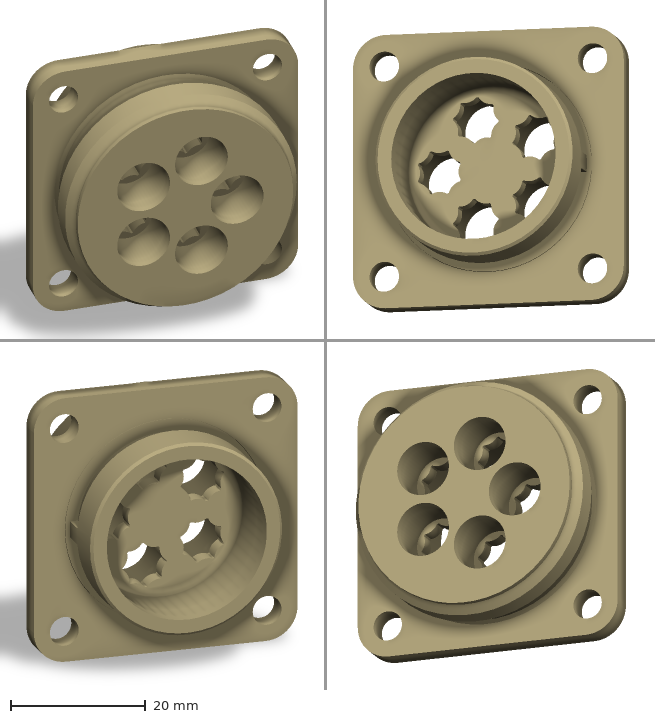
import cadquery as cq
import math


flange_side = 41.2
flange_front = 10.0
flange_thickness = 3.5
flange_back = flange_front + flange_thickness
corner_radius = 5.0
bolt_hole_diameter = 4.5
bolt_hole_spacing = 31.7

barrel_diameter = 30.0
barrel_chamfer = 0.4
barrel_back = 6.95
neck_diameter = 27.52
key_width = 2.5

total_length = 23.5
rear_diameter = 33.5
rear_foot = 0.5
collar_diameter = 36.0
collar_ramp_start = 16.5
collar_start = 17.67
collar_end = 21.2
collar_ramp_end = 22.5

socket_diameter = 25.0
socket_depth = 12.5
socket_floor_fillet = 1.0
wall_thickness = 2.6
contact_bore_diameter = 8.2

groove_inner_diameter = 31.4
groove_outer_diameter = 31.5
groove_depth = 1.65

contact_count = 5
contact_circle_radius = 8.05
scallop_count = 8
tip_radius = 3.45
tip_width = 0.3
scallop_mid_radius = 2.93


def cylinder(diameter, start, end):
    return cq.Workplane("YZ", origin=(start, 0, 0)).circle(diameter / 2).extrude(end - start)


def make_flange():
    plate = (
        cq.Workplane("YZ", origin=(flange_front, 0, 0))
        .rect(flange_side, flange_side)
        .extrude(flange_thickness)
        .edges("|X")
        .fillet(corner_radius)
    )
    return (
        plate.faces("<X")
        .workplane(origin=(flange_front, 0, 0))
        .rect(bolt_hole_spacing, bolt_hole_spacing, forConstruction=True)
        .vertices()
        .hole(bolt_hole_diameter)
    )


def make_barrel():
    rim = cylinder(barrel_diameter, 0, barrel_back).edges().chamfer(barrel_chamfer)
    neck = cylinder(neck_diameter, 0, flange_front)
    key_start = barrel_back - barrel_chamfer
    key_length = flange_front - key_start
    key_strip = (
        cq.Workplane("YZ", origin=(key_start, 0, 0))
        .rect(barrel_diameter, key_width)
        .extrude(key_length)
        .intersect(cylinder(barrel_diameter, key_start, flange_front))
    )
    return rim.union(neck).union(key_strip)


def make_rear_body():
    rear_radius = rear_diameter / 2
    collar_radius = collar_diameter / 2
    profile = [
        (flange_front, 0),
        (flange_front, rear_radius),
        (flange_back, rear_radius),
        (flange_back, rear_radius + rear_foot),
        (flange_back + rear_foot, rear_radius),
        (collar_ramp_start, rear_radius),
        (collar_start, collar_radius),
        (collar_end, collar_radius),
        (collar_ramp_end, rear_radius),
        (total_length, rear_radius),
        (total_length, 0),
    ]
    return cq.Workplane("XY").polyline(profile).close().revolve(360, (0, 0, 0), (1, 0, 0))


def make_socket():
    return cylinder(socket_diameter, 0, socket_depth).faces(">X").edges().fillet(socket_floor_fillet)


def make_groove():
    groove_end = flange_front + groove_depth
    outer = cylinder(groove_outer_diameter, flange_front, groove_end)
    return outer.cut(cylinder(groove_inner_diameter, flange_front, groove_end))


def polar(radius, angle):
    return (radius * math.cos(angle), radius * math.sin(angle))


def make_contact_opening():
    """Star of inward-bulging arcs joined by short flat tips, opening into a wider rear bore."""
    pitch = 2 * math.pi / scallop_count
    half_arc = pitch / 2 - math.asin(tip_width / 2 / tip_radius)
    outline = cq.Workplane("YZ", origin=(socket_depth / 2, contact_circle_radius, 0))
    outline = outline.moveTo(*polar(tip_radius, -half_arc))
    for index in range(scallop_count):
        middle = index * pitch
        outline = outline.threePointArc(
            polar(scallop_mid_radius, middle), polar(tip_radius, middle + half_arc)
        )
        if index < scallop_count - 1:
            outline = outline.lineTo(*polar(tip_radius, middle + pitch - half_arc))
    star = outline.close().extrude(socket_depth / 2 + wall_thickness)
    bore = cylinder(contact_bore_diameter, socket_depth + wall_thickness, total_length)
    return star.union(bore.translate((0, contact_circle_radius, 0)))


result = make_flange().union(make_barrel()).union(make_rear_body())
result = result.cut(make_socket()).cut(make_groove())
contact_opening = make_contact_opening()
for index in range(contact_count):
    result = result.cut(contact_opening.rotate((0, 0, 0), (1, 0, 0), index * 360 / contact_count))
result = cq.Workplane(result.solids().val())